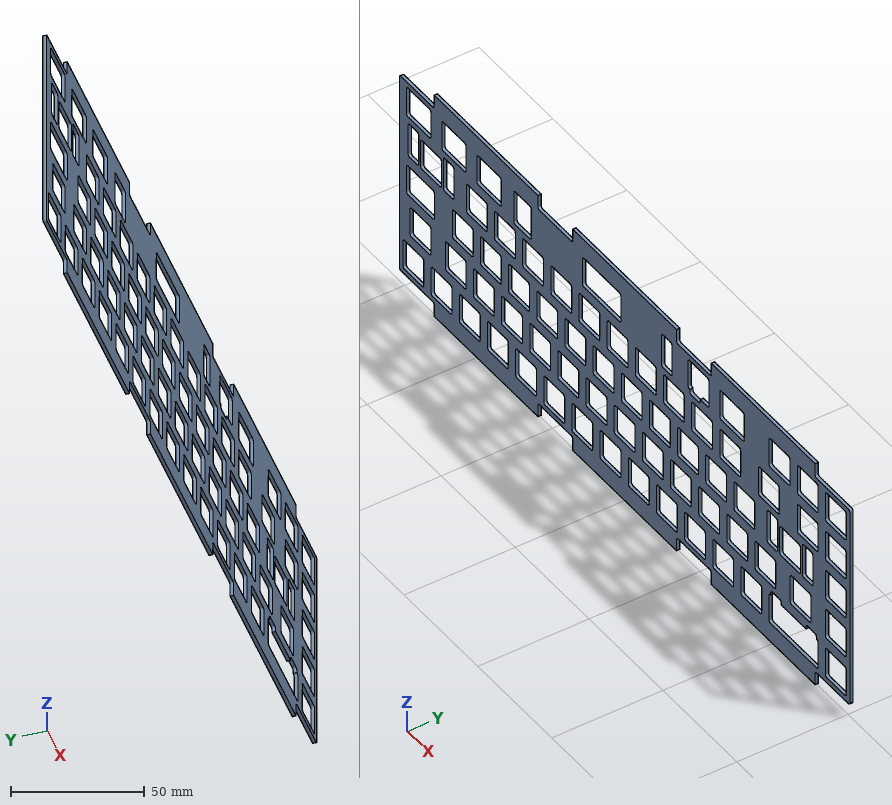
import cadquery as cq

UNIT = 19.05
COLUMNS = 16
ROWS = 5
THICKNESS = 1.5
BODY_WIDTH = COLUMNS * UNIT
BODY_HEIGHT = ROWS * UNIT
CORNER_RADIUS = 1.0

TABS_PER_EDGE = 3
TAB_GAP = 23.5
TAB_WIDTH = (BODY_WIDTH - (TABS_PER_EDGE + 1) * TAB_GAP) / TABS_PER_EDGE
TAB_DEPTH = 6.5

SWITCH_SIZE = 14.0

SLOT_WIDTH = 7.0
SLOT_NEAR = 7.0
SLOT_FAR = 9.0
STAB_OFFSET_2U = 11.938
STAB_OFFSET_6_25U = 50.0
STAB_OFFSET_7U = 57.15

SPACE_ROW, SHIFT_ROW, HOME_ROW, TAB_ROW, NUMBER_ROW = range(ROWS)

SPACE_6_25U = 6.875
SPACE_7U = 7.5
LEFT_SHIFT = 1.125
ENTER = 13.875
BACKSPACE = 14.0


def key_run(first, count):
    """Centres of a run of neighbouring 1U keys."""
    return [first + i for i in range(count)]


SINGLE_KEYS = {
    SPACE_ROW: [10.625] + key_run(13.5, 3),
    SHIFT_ROW: [LEFT_SHIFT] + key_run(2.75, 10) + [13.125] + key_run(14.5, 2),
    HOME_ROW: key_run(2.25, 11) + [ENTER, 15.5],
    TAB_ROW: [0.75] + key_run(2.0, 12) + [14.25, 15.5],
    NUMBER_ROW: key_run(0.5, 13) + [15.5],
}

SHARED_KEYS = {
    SPACE_ROW: [(0.625, 0.75), (1.875, 2.0), (3.125, 3.25), (SPACE_6_25U, SPACE_7U), (11.75, 11.875)],
    HOME_ROW: [(0.625, 0.875)],
    NUMBER_ROW: [(13.5, 14.5)],
}


def column_x(units):
    return units * UNIT - BODY_WIDTH / 2


def row_z(row):
    return BODY_HEIGHT / 2 - (row + 0.5) * UNIT


def block(x_min, x_max, z_min, z_max):
    """Full-thickness block with its front and back faces at Y = -/+ half the thickness."""
    return (
        cq.Workplane("XY")
        .box(x_max - x_min, THICKNESS, z_max - z_min)
        .translate(((x_min + x_max) / 2, 0, (z_min + z_max) / 2))
    )


def rounded_block(x_min, x_max, z_min, z_max):
    return block(x_min, x_max, z_min, z_max).edges("|Y").fillet(CORNER_RADIUS)


def make_blank():
    body = cq.Workplane("XY").box(BODY_WIDTH, THICKNESS, BODY_HEIGHT)
    z_outer = BODY_HEIGHT / 2 + TAB_DEPTH
    for i in range(TABS_PER_EDGE):
        x_min = -BODY_WIDTH / 2 + TAB_GAP + i * (TAB_WIDTH + TAB_GAP)
        body = body.union(block(x_min, x_min + TAB_WIDTH, -z_outer, z_outer))
    return body.edges("|Y and (not >Z) and (not <Z)").fillet(CORNER_RADIUS)


def switch_opening(row, first, last):
    half = SWITCH_SIZE / 2
    z = row_z(row)
    return rounded_block(column_x(first) - half, column_x(last) + half, z - half, z + half)


def stabilizer_slot(row, x_first, x_last):
    """Slot around one wire housing, or around two overlapping housing positions."""
    z = row_z(row)
    below, above = SLOT_NEAR, SLOT_FAR
    if row == SPACE_ROW:
        below, above = SLOT_FAR, SLOT_NEAR
    return rounded_block(x_first - SLOT_WIDTH / 2, x_last + SLOT_WIDTH / 2, z - below, z + above)


def make_cutouts():
    cutouts = []
    for row, centres in SINGLE_KEYS.items():
        cutouts += [switch_opening(row, centre, centre) for centre in centres]
    for row, spans in SHARED_KEYS.items():
        cutouts += [switch_opening(row, first, last) for first, last in spans]

    for row, key in ((SHIFT_ROW, LEFT_SHIFT), (HOME_ROW, ENTER), (NUMBER_ROW, BACKSPACE)):
        for side in (-1, 1):
            x = column_x(key) + side * STAB_OFFSET_2U
            cutouts.append(stabilizer_slot(row, x, x))

    x_short = column_x(SPACE_6_25U)
    x_long = column_x(SPACE_7U)
    cutouts.append(stabilizer_slot(SPACE_ROW, x_short - STAB_OFFSET_6_25U, x_long - STAB_OFFSET_7U))
    for x in (x_short + STAB_OFFSET_6_25U, x_long + STAB_OFFSET_7U):
        cutouts.append(stabilizer_slot(SPACE_ROW, x, x))
    return cutouts


result = make_blank()
for cutout in make_cutouts():
    result = result.cut(cutout)